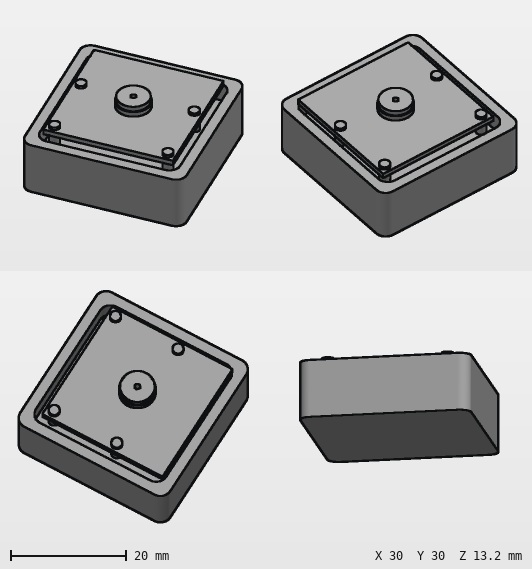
import cadquery as cq

housing_side = 30.0
housing_height = 10.2
wall = 2.0
outer_corner_radius = 2.0
inner_corner_radius = 2.0
floor_z = 6.6

plate_side = 24.0
plate_thickness = 1.0
plate_center_x = -0.25
plate_center_y = 0.7
plate_top_z = housing_height + plate_thickness

peg_diameter = 1.95
peg_protrusion = 0.5
peg_spacing_x = 21.0
rear_peg_offset_y = 2.0
front_peg_offset_y = -10.5
peg_length_below = 2.6
peg_bottom_z = housing_height - peg_length_below
peg_top_z = plate_top_z + peg_protrusion

knob_base_diameter = 6.4
knob_base_height = 1.02
knob_cap_diameter = 6.0
knob_cap_height = 1.0
knob_hole_diameter = 1.0

peg_centers = [
    (plate_center_x + side * peg_spacing_x / 2, plate_center_y + offset_y)
    for side in (-1, 1)
    for offset_y in (rear_peg_offset_y, front_peg_offset_y)
]


def rounded_block(side, height, corner_radius, bottom_z):
    """Square block with rounded vertical edges, centred on the Z axis."""
    block = cq.Workplane("XY").workplane(offset=bottom_z).rect(side, side).extrude(height)
    return block.edges("|Z").fillet(corner_radius)


def make_housing():
    """Box with a pocket open at the top."""
    outer = rounded_block(housing_side, housing_height, outer_corner_radius, 0)
    pocket_side = housing_side - 2 * wall
    pocket = rounded_block(pocket_side, housing_height - floor_z, inner_corner_radius, floor_z)
    return outer.cut(pocket)


def make_plate():
    """Square plate with four integral pegs that project above and below it."""
    base = cq.Workplane("XY").workplane(offset=housing_height).center(plate_center_x, plate_center_y)
    plate = base.rect(plate_side, plate_side).extrude(plate_thickness)
    peg_base = cq.Workplane("XY").workplane(offset=peg_bottom_z).pushPoints(peg_centers)
    pegs = peg_base.circle(peg_diameter / 2).extrude(peg_top_z - peg_bottom_z)
    return plate.union(pegs)


def make_knob():
    """Two stacked discs with a central through hole."""
    base = cq.Workplane("XY").workplane(offset=plate_top_z).center(plate_center_x, plate_center_y)
    knob = base.circle(knob_base_diameter / 2).extrude(knob_base_height)
    knob = knob.faces(">Z").workplane().circle(knob_cap_diameter / 2).extrude(knob_cap_height)
    return knob.faces(">Z").workplane().hole(knob_hole_diameter)


housing = make_housing()
plate = make_plate()
knob = make_knob()

result = cq.Compound.makeCompound([housing.val(), plate.val(), knob.val()])